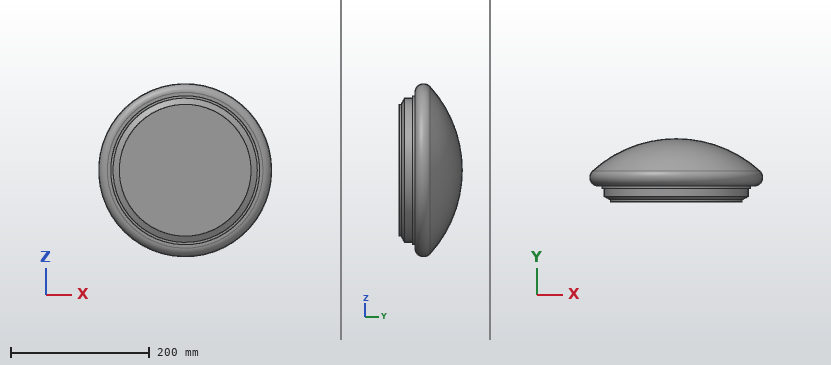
import cadquery as cq
import math

overall_radius = 124.6
overall_depth = 91.0

back_radius = 190.0 / 2
body_radius = 208.0 / 2
flange_radius = 214.6 / 2
back_lip_height = 3.0
cone_height = 4.7
body_height = 11.5
flange_height = 3.5

rim_radius = 12.5

back_y = -overall_depth / 2
cone_start = back_y + back_lip_height
body_start = cone_start + cone_height
flange_start = body_start + body_height
shade_start = flange_start + flange_height
dome_top = back_y + overall_depth


def revolve_about_y(profile):
    """Spin a closed XY half-profile a full turn about the Y axis."""
    return profile.close().revolve(360, (0, 0, 0), (0, 1, 0))


def make_base():
    """Round base with a back lip, a conical step and a flange under the shade."""
    profile = (
        cq.Workplane("XY")
        .moveTo(0, back_y)
        .lineTo(back_radius, back_y)
        .lineTo(back_radius, cone_start)
        .lineTo(body_radius, body_start)
        .lineTo(body_radius, flange_start)
        .lineTo(flange_radius, flange_start)
        .lineTo(flange_radius, shade_start)
        .lineTo(0, shade_start)
    )
    return revolve_about_y(profile)


def make_shade():
    """Domed shade with a flat underside; the dome is tangent to the rim arc."""
    rim_center_r = overall_radius - rim_radius
    rim_center_y = shade_start + rim_radius

    drop = dome_top - rim_center_y
    dome_radius = (rim_center_r**2 + drop**2 - rim_radius**2) / (2 * (drop - rim_radius))
    dome_center_y = dome_top - dome_radius

    blend_angle = math.atan2(rim_center_y - dome_center_y, rim_center_r)
    half_angle = (blend_angle + math.pi / 2) / 2

    def dome_point(angle):
        return (dome_radius * math.cos(angle), dome_center_y + dome_radius * math.sin(angle))

    profile = (
        cq.Workplane("XY")
        .moveTo(0, shade_start)
        .lineTo(rim_center_r, shade_start)
        .threePointArc((overall_radius, rim_center_y), dome_point(blend_angle))
        .threePointArc(dome_point(half_angle), (0, dome_top))
    )
    return revolve_about_y(profile)


base = make_base()
shade = make_shade()

result = cq.Compound.makeCompound([base.val(), shade.val()])